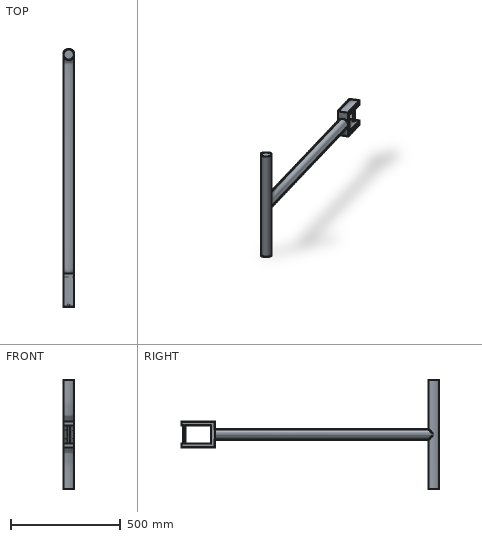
import cadquery as cq

total_length = 1180.0
handle_length = 500.0
bar_diameter = 50.0

fork_length = 153.0
fork_height = 118.0
fork_wall = 18.0
pin_diameter = 11.0
pin_setback = 13.0

fork_tip_y = -total_length / 2
fork_back_y = fork_tip_y + fork_length
handle_y = total_length / 2 - bar_diameter / 2
pin_y = fork_tip_y + pin_setback


def upright_rod(y, diameter, length):
    """Cylinder along Z, centred on the XY plane."""
    return cq.Workplane("XY").center(0, y).circle(diameter / 2).extrude(length / 2, both=True)


def make_shaft():
    """Round shaft from the back of the fork to the axis of the handle."""
    shaft = cq.Workplane("XZ").circle(bar_diameter / 2).extrude(-(handle_y - fork_back_y))
    return shaft.translate((0, fork_back_y, 0))


def make_fork():
    """U-shaped fork, as wide as the bar, opening toward -Y."""
    block = cq.Workplane("XY").box(bar_diameter, fork_length, fork_height)
    gap_height = fork_height - 2 * fork_wall
    gap = cq.Workplane("XY").box(bar_diameter, fork_length, gap_height).translate((0, -fork_wall, 0))
    return block.cut(gap).translate((0, fork_tip_y + fork_length / 2, 0))


handle = upright_rod(handle_y, bar_diameter, handle_length)

pin = upright_rod(pin_y, pin_diameter, fork_height - fork_wall)

result = handle.union(make_shaft()).union(make_fork()).union(pin)